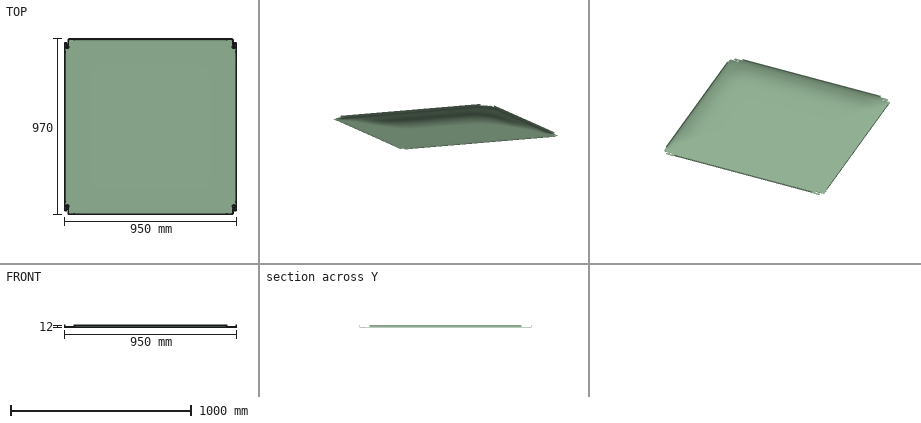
import cadquery as cq
import math

width = 950.0
depth = 970.0
height = 12.0

sheet = 2.0
bend_inner = 2.5
bend_outer = bend_inner + sheet

front_flange_length = 842.0
side_flange_length = 830.0

front_edge_width = 912.0
side_edge_depth = 928.0
front_corner_chamfer = 6.0
side_corner_chamfer = 4.0

hole_diameter = 12.0
hole_x = 460.0
hole_y = 440.0
notch_width = 10.0
notch_bottom_y = 453.0


def chamfered_plate(size_x, size_y, chamfer):
    """Flat sheet standing on Z = 0 with chamfered corners."""
    plate = cq.Workplane("XY").box(size_x, size_y, sheet, centered=(True, True, False))
    return plate.edges("|Z").chamfer(chamfer)


def make_sheet():
    """Cross-shaped flat sheet with a step at each corner."""
    long_plate = chamfered_plate(front_edge_width, depth, front_corner_chamfer)
    wide_plate = chamfered_plate(width, side_edge_depth, side_corner_chamfer)
    return long_plate.union(wide_plate)


def make_bend_space(length, edge):
    """Block around the square sheet edge at Y = edge that the rounded bend replaces."""
    block = cq.Workplane("XY").box(length, bend_outer, height, centered=(True, False, False))
    return block.translate((0, edge - bend_outer, 0))


def make_flange(length, edge):
    """Bent-up flange along X whose outer face lies at Y = edge."""
    inner_face = edge - sheet
    bend_start = edge - bend_outer

    def arc_middle(radius):
        """Middle of a bend arc centred at (bend_start, bend_outer)."""
        offset = radius * math.sqrt(0.5)
        return (bend_start + offset, bend_outer - offset)

    profile = (
        cq.Workplane("YZ", origin=(-length / 2, 0, 0))
        .moveTo(bend_start, 0)
        .threePointArc(arc_middle(bend_outer), (edge, bend_outer))
        .lineTo(edge, height)
        .lineTo(inner_face, height)
        .lineTo(inner_face, bend_outer)
        .threePointArc(arc_middle(bend_inner), (bend_start, sheet))
        .close()
    )
    return profile.extrude(length)


def add_flanges(body):
    """Replace the middle of all four sheet edges with bent-up flanges."""
    sides = (
        (0, front_flange_length, depth / 2),
        (90, side_flange_length, width / 2),
        (180, front_flange_length, depth / 2),
        (270, side_flange_length, width / 2),
    )
    origin = (0, 0, 0)
    z_axis = (0, 0, 1)
    for angle, length, edge in sides:
        bend_space = make_bend_space(length, edge).rotate(origin, z_axis, angle)
        flange = make_flange(length, edge).rotate(origin, z_axis, angle)
        body = body.cut(bend_space).union(flange)
    return body


def make_corner_cuts():
    """Through hole and round-bottomed open notch, mirrored to all four corners."""
    notch_radius = notch_width / 2
    notch_centre_y = notch_bottom_y + notch_radius
    mouth_length = side_edge_depth / 2 - notch_centre_y
    hole = cq.Workplane("XY").center(hole_x, hole_y).circle(hole_diameter / 2).extrude(sheet)
    notch_base = cq.Workplane("XY").center(hole_x, notch_centre_y)
    notch_end = notch_base.circle(notch_radius).extrude(sheet)
    notch_mouth = notch_base.box(notch_width, mouth_length, sheet, centered=(True, False, False))
    corner = hole.union(notch_end).union(notch_mouth)
    corner_pair = corner.union(corner.mirror("YZ"))
    return corner_pair.union(corner_pair.mirror("XZ"))


result = add_flanges(make_sheet()).cut(make_corner_cuts())